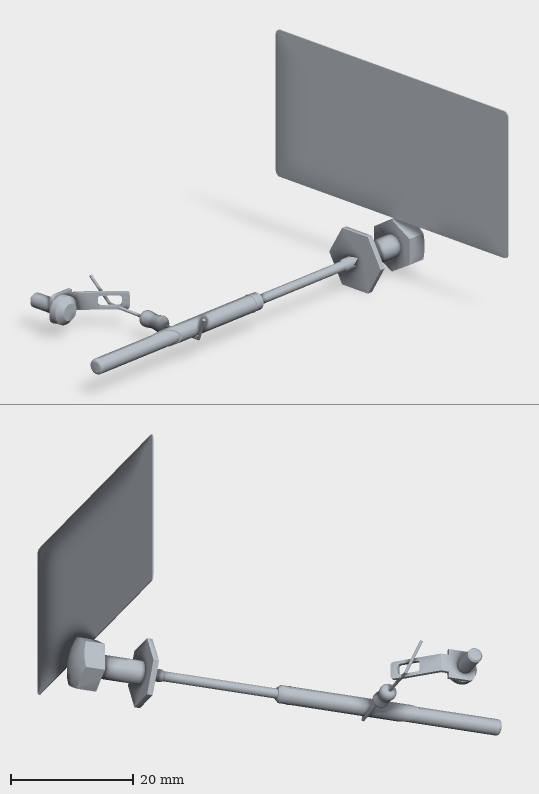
import cadquery as cq
import math


PLATE_FLATS = 10.0
PLATE_THICKNESS = 1.0
SHANK_DIAMETER = 4.0
SHANK_LENGTH = 7.8
HEAD_FLATS = 7.95
HEAD_HEIGHT = 4.4
HEAD_DOME_RADIUS = 10.0

SHEET_WIDTH = 52.05
SHEET_HEIGHT = 26.0
SHEET_THICKNESS = 0.2
SHEET_CORNER_RADIUS = 1.0

CROWN_RADIUS = 1.05
CROWN_LENGTH = 2.55
CROWN_TAPER_LENGTH = 0.45
CROWN_NOTCH_DEPTH = 1.4
CROWN_NOTCH_HALF_WIDTH = 0.8
PLUNGER_RADIUS = 0.8
PLUNGER_DEPTH_IN_BARREL = 4.5
BARREL_START = 22.8
BARREL_END = 32.9
BARREL_RADIUS = 1.5
BARREL_NOSE_RADIUS = 1.05
BARREL_NOSE_LENGTH = 0.5
COLLAR_RADIUS = 1.6
COLLAR_START = 24.85
COLLAR_WIDTH = 0.2
SLEEVE_SHORT_END = 42.9
SLEEVE_LONG_END = 47.4
TAIL_RADIUS = 1.35
TAIL_END = 61.9
TAIL_END_FILLET = 0.5

RESISTOR_CENTER = (-9.0, -38.2, -1.65)
RESISTOR_HALF_LENGTH = 2.55
RESISTOR_BULGE_OFFSET = 1.5
RESISTOR_BULGE_RADIUS = 1.4
RESISTOR_WAIST_RADIUS = 1.2
RESISTOR_END_RADIUS = 0.6
LEAD_RADIUS = 0.26
LEAD_BEND_X = 10.1
LEAD_TIP_RUN = 2.85
LEAD_TIP_FORWARD = 1.7
LEAD_TIP_RISE = 4.7
RESISTOR_TURN = -0.9
RESISTOR_TILT = 0.8

SCREW_LEFT = -27.7
SCREW_Y = -46.9
SCREW_Z = -0.45
SCREW_RADIUS = 1.3
SCREW_TIP_CHAMFER = 0.3
SCREW_HEAD_RADIUS = 2.5
SCREW_HEAD_HEIGHT = 2.2
SCREW_HEAD_CHAMFER = 1.0

LUG_BACK = -22.5
LUG_THICKNESS = 0.7
LUG_MID_Z = -0.3
LUG_PLATE_HEIGHT = 5.0
LUG_PLATE_FRONT = -48.8
LUG_PLATE_REAR = -44.2
LUG_PLATE_CORNER_RADIUS = 1.0
ARM_HEIGHT = 3.0
ARM_BEND_Y = -42.9
ARM_LENGTH = 9.0
ARM_CORNER_RADIUS = 0.5
WINDOW_START = 3.8
WINDOW_LENGTH = 3.9
WINDOW_HEIGHT = 1.9
WINDOW_CORNER_RADIUS = 0.45

HEAD_UNDERSIDE = PLATE_THICKNESS + SHANK_LENGTH
LUG_FRONT = LUG_BACK + LUG_THICKNESS


def y_workplane(y):
    """Workplane facing +Y at the given Y, with its first axis along +Z."""
    return cq.Workplane(cq.Plane(origin=(0, y, 0), xDir=(0, 0, 1), normal=(0, 1, 0)))


def hexagon_prism(flats, y, height, vertex_angle):
    """Hexagonal prism along +Y, with one vertex at vertex_angle from the Z axis."""
    corners = flats / math.cos(math.pi / 6)
    prism = y_workplane(y).polygon(6, corners).extrude(height)
    return prism.rotate((0, 0, 0), (0, 1, 0), vertex_angle)


def revolve_about_probe(points):
    """Solid of revolution about the Y axis from (distance in front of plate, radius) points."""
    outline = [(-distance, radius) for distance, radius in points]
    return cq.Workplane("YZ").polyline(outline).close().revolve(360, (0, 0), (1, 0))


def make_hex_plate():
    return hexagon_prism(PLATE_FLATS, 0, PLATE_THICKNESS, 30)


def make_bolt():
    head_back = HEAD_UNDERSIDE + HEAD_HEIGHT
    head = hexagon_prism(HEAD_FLATS, HEAD_UNDERSIDE, HEAD_HEIGHT, 0)
    dome_mid_y = head_back - HEAD_DOME_RADIUS * (1 - math.cos(math.pi / 4))
    dome_mid_z = HEAD_DOME_RADIUS * math.sin(math.pi / 4)
    dome = (
        cq.Workplane("YZ")
        .moveTo(head_back, 0)
        .threePointArc((dome_mid_y, dome_mid_z), (head_back - HEAD_DOME_RADIUS, HEAD_DOME_RADIUS))
        .lineTo(head_back - HEAD_DOME_RADIUS, 0)
        .close()
        .revolve(360, (0, 0), (1, 0))
    )
    head = head.intersect(dome)
    shank = y_workplane(PLATE_THICKNESS).circle(SHANK_DIAMETER / 2).extrude(SHANK_LENGTH)
    return head.union(shank)


def make_sheet():
    sheet = cq.Workplane("XY").box(SHEET_WIDTH, SHEET_THICKNESS, SHEET_HEIGHT)
    sheet = sheet.edges("|Y").fillet(SHEET_CORNER_RADIUS)
    mid_z = PLATE_FLATS / 2 + SHEET_HEIGHT / 2
    return sheet.translate((0, HEAD_UNDERSIDE + SHEET_THICKNESS / 2, mid_z))


def make_plunger():
    taper_end = CROWN_LENGTH + CROWN_TAPER_LENGTH
    plunger_end = BARREL_START + PLUNGER_DEPTH_IN_BARREL
    plunger = revolve_about_probe([
        (0, 0),
        (0, CROWN_RADIUS),
        (CROWN_LENGTH, CROWN_RADIUS),
        (taper_end, PLUNGER_RADIUS),
        (plunger_end, PLUNGER_RADIUS),
        (plunger_end, 0),
    ])
    notch = (
        cq.Workplane("XY")
        .polyline([(-CROWN_NOTCH_HALF_WIDTH, 0), (CROWN_NOTCH_HALF_WIDTH, 0), (0, -CROWN_NOTCH_DEPTH)])
        .close()
        .extrude(2 * CROWN_RADIUS, both=True)
    )
    for angle in (0, 90):
        plunger = plunger.cut(notch.rotate((0, 0, 0), (0, 1, 0), angle))
    return plunger


def make_barrel():
    collar_end = COLLAR_START + COLLAR_WIDTH
    bore_end = BARREL_START + PLUNGER_DEPTH_IN_BARREL
    return revolve_about_probe([
        (BARREL_START, PLUNGER_RADIUS),
        (BARREL_START, BARREL_NOSE_RADIUS),
        (BARREL_START + BARREL_NOSE_LENGTH, BARREL_RADIUS),
        (COLLAR_START, BARREL_RADIUS),
        (COLLAR_START, COLLAR_RADIUS),
        (collar_end, COLLAR_RADIUS),
        (collar_end, BARREL_RADIUS),
        (BARREL_END, BARREL_RADIUS),
        (BARREL_END, 0),
        (bore_end, 0),
        (bore_end, PLUNGER_RADIUS),
    ])


def make_sleeve():
    """Thin tube around the tail pin, cut obliquely so that its -X side is the longer one."""
    tube = y_workplane(-BARREL_END).circle(BARREL_RADIUS).circle(TAIL_RADIUS)
    tube = tube.extrude(BARREL_END - SLEEVE_LONG_END)
    kept = (
        cq.Workplane("XY")
        .polyline([
            (-BARREL_RADIUS, -BARREL_END),
            (BARREL_RADIUS, -BARREL_END),
            (BARREL_RADIUS, -SLEEVE_SHORT_END),
            (-BARREL_RADIUS, -SLEEVE_LONG_END),
        ])
        .close()
        .extrude(BARREL_RADIUS, both=True)
    )
    return tube.intersect(kept)


def make_tail_pin():
    pin = y_workplane(-BARREL_END).circle(TAIL_RADIUS).extrude(BARREL_END - TAIL_END)
    return pin.faces("<Y").edges().fillet(TAIL_END_FILLET)


def make_resistor_body():
    """Dumbbell-shaped body of revolution about the X axis."""
    dome_depth = RESISTOR_HALF_LENGTH - RESISTOR_BULGE_OFFSET
    dome_rise = RESISTOR_BULGE_RADIUS - RESISTOR_END_RADIUS
    dome_mid_x = RESISTOR_BULGE_OFFSET + dome_depth * math.sin(math.pi / 4)
    dome_mid_r = RESISTOR_END_RADIUS + dome_rise * math.cos(math.pi / 4)
    bulge = (RESISTOR_BULGE_OFFSET, RESISTOR_BULGE_RADIUS)
    profile = (
        cq.Workplane("XY")
        .moveTo(-RESISTOR_HALF_LENGTH, 0)
        .lineTo(-RESISTOR_HALF_LENGTH, RESISTOR_END_RADIUS)
        .threePointArc((-dome_mid_x, dome_mid_r), (-bulge[0], bulge[1]))
        .spline([(0, RESISTOR_WAIST_RADIUS)], tangents=[(1, 0), (1, 0)], includeCurrent=True)
        .spline([bulge], tangents=[(1, 0), (1, 0)], includeCurrent=True)
        .threePointArc((dome_mid_x, dome_mid_r), (RESISTOR_HALF_LENGTH, RESISTOR_END_RADIUS))
        .lineTo(RESISTOR_HALF_LENGTH, 0)
        .close()
    )
    return profile.revolve(360, (0, 0), (1, 0))


def make_wire():
    """One wire through the resistor, both ends bent outwards, forwards and up."""
    tip_x = LEAD_BEND_X + LEAD_TIP_RUN
    path = cq.Workplane("XY").polyline([
        (-tip_x, -LEAD_TIP_FORWARD, LEAD_TIP_RISE),
        (-LEAD_BEND_X, 0, 0),
        (LEAD_BEND_X, 0, 0),
        (tip_x, -LEAD_TIP_FORWARD, LEAD_TIP_RISE),
    ])
    start_plane = cq.Plane(
        origin=(-tip_x, -LEAD_TIP_FORWARD, LEAD_TIP_RISE),
        normal=(LEAD_TIP_RUN, LEAD_TIP_FORWARD, -LEAD_TIP_RISE),
    )
    return cq.Workplane(start_plane).circle(LEAD_RADIUS).sweep(path, transition="round")


def make_resistor():
    resistor = make_resistor_body().union(make_wire())
    resistor = resistor.rotate((0, 0, 0), (0, 1, 0), RESISTOR_TILT)
    resistor = resistor.rotate((0, 0, 0), (0, 0, 1), RESISTOR_TURN)
    return resistor.translate(RESISTOR_CENTER)


def make_screw():
    shank_length = LUG_FRONT - SCREW_LEFT
    start_center = (SCREW_LEFT, SCREW_Y, SCREW_Z)
    start = cq.Workplane(cq.Plane(origin=start_center, xDir=(0, 0, 1), normal=(1, 0, 0)))
    shank = start.circle(SCREW_RADIUS).extrude(shank_length)
    shank = shank.faces("<X").chamfer(SCREW_TIP_CHAMFER)
    head = start.workplane(offset=shank_length).circle(SCREW_HEAD_RADIUS).extrude(SCREW_HEAD_HEIGHT)
    head = head.faces(">X").chamfer(SCREW_HEAD_CHAMFER)
    return shank.union(head)


def make_lug_plate():
    """Flat plate clamped under the screw head."""
    plate_size = (LUG_THICKNESS, LUG_PLATE_REAR - LUG_PLATE_FRONT, LUG_PLATE_HEIGHT)
    plate = cq.Workplane("XY").box(*plate_size)
    plate = plate.edges("|X and <Y").fillet(LUG_PLATE_CORNER_RADIUS)
    plate_mid_y = (LUG_PLATE_FRONT + LUG_PLATE_REAR) / 2
    plate = plate.translate((LUG_BACK + LUG_THICKNESS / 2, plate_mid_y, LUG_MID_Z))
    screw_hole = cq.Workplane("YZ", origin=(LUG_BACK, SCREW_Y, SCREW_Z)).circle(SCREW_RADIUS)
    return plate.cut(screw_hole.extrude(LUG_THICKNESS))


def make_lug_arm():
    """Narrow strip that leaves the plate, bends by 45 degrees and has a window near its end."""
    inner_bend_setback = LUG_THICKNESS * math.tan(math.pi / 8)
    arm_run = ARM_LENGTH / math.sqrt(2)
    thickness_run = LUG_THICKNESS / math.sqrt(2)
    arm = (
        cq.Workplane("XY", origin=(0, 0, LUG_MID_Z))
        .polyline([
            (LUG_BACK, LUG_PLATE_REAR),
            (LUG_FRONT, LUG_PLATE_REAR),
            (LUG_FRONT, ARM_BEND_Y - inner_bend_setback),
            (LUG_BACK + arm_run + thickness_run, ARM_BEND_Y + arm_run - thickness_run),
            (LUG_BACK + arm_run, ARM_BEND_Y + arm_run),
            (LUG_BACK, ARM_BEND_Y),
        ])
        .close()
        .extrude(ARM_HEIGHT / 2, both=True)
    )
    arm = arm.edges("|(1,-1,0)").fillet(ARM_CORNER_RADIUS)
    bent_face = cq.Plane(origin=(LUG_BACK, ARM_BEND_Y, LUG_MID_Z), xDir=(1, 1, 0), normal=(1, -1, 0))
    window = (
        cq.Workplane(bent_face)
        .center(WINDOW_START + WINDOW_LENGTH / 2, 0)
        .rect(WINDOW_LENGTH, WINDOW_HEIGHT)
        .extrude(LUG_THICKNESS)
    )
    window = window.edges("|(1,-1,0)").fillet(WINDOW_CORNER_RADIUS)
    return arm.cut(window)


def make_lug(resistor):
    """Solder lug, cleared where the resistor's lead passes through the lower rim of the window."""
    return make_lug_plate().union(make_lug_arm()).cut(resistor)


hex_plate = make_hex_plate()
bolt = make_bolt()
sheet = make_sheet()
plunger = make_plunger()
barrel = make_barrel()
sleeve = make_sleeve()
tail_pin = make_tail_pin()
resistor = make_resistor()
screw = make_screw()
lug = make_lug(resistor)

bodies = [hex_plate, bolt, sheet, plunger, barrel, sleeve, tail_pin, resistor, screw, lug]
result = cq.Compound.makeCompound([body.solids().val() for body in bodies])